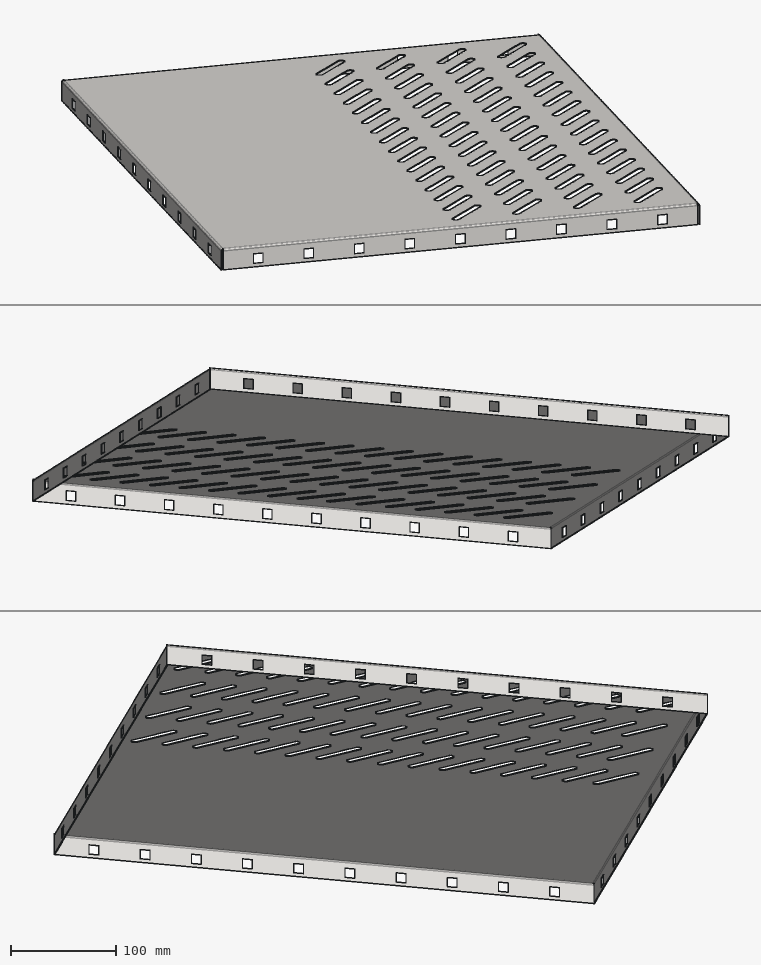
import cadquery as cq

length = 528.0
width = 475.0
height = 21.0
sheet = 1.0
bend_radius = 2.0
bend_inner_radius = bend_radius - sheet

hole_side = 9.5
hole_height = 8.5
long_flange_holes = 10
long_flange_inset = 39.0
short_flange_holes = 9
short_flange_inset = 37.0

slot_columns = 16
slot_rows = 4
slot_end_inset = 38.5
slot_rear_inset = 39.5
slot_pitch_x = (length - 2 * slot_end_inset) / (slot_columns - 1)
slot_pitch_y = 2 * slot_pitch_x
slot_width = 7.0
slot_length = 50.0
slot_angle = -45


def folded_channel(plane, span, run):
    """Inverted channel of the given span, folded from sheet and centred along its run."""
    outer = cq.Workplane(plane).rect(span, 2 * height).extrude(run / 2, both=True)
    inner = cq.Workplane(plane).rect(span - 2 * sheet, 2 * (height - sheet)).extrude(run / 2, both=True)
    run_edges = "|Y" if plane == "XZ" else "|X"
    outer = outer.edges(run_edges).fillet(bend_radius)
    inner = inner.edges(run_edges).fillet(bend_inner_radius)
    above_base = cq.Workplane("XY").box(length, width, height, centered=(True, True, False))
    return outer.cut(inner).intersect(above_base)


def tray_shell():
    """Front and rear flanges run the full length; the side flanges fit between them."""
    side_run = width - 2 * bend_radius
    middle = cq.Workplane("XY").box(length, side_run, 2 * height)
    front_and_rear = folded_channel("YZ", width, length).cut(middle)
    sides = folded_channel("XZ", length, side_run)
    return sides.union(front_and_rear)


def flange_holes(plane, count, flange_length, inset, depth):
    """Row of square cutters that passes through a pair of opposite flanges."""
    pitch = (flange_length - 2 * inset) / (count - 1)
    return (
        cq.Workplane(plane)
        .center(0, hole_height)
        .rarray(pitch, 5.5, count, 1)
        .rect(hole_side, hole_side)
        .extrude(depth / 2, both=True)
    )


def vent_slots():
    """Grid of diagonal slot cutters, aligned to the rear edge of the panel."""
    rows_centre = width / 2 - slot_rear_inset - slot_pitch_y * (slot_rows - 1) / 2
    return (
        cq.Workplane("XY")
        .center(0, rows_centre)
        .rarray(slot_pitch_x, slot_pitch_y, slot_columns, slot_rows)
        .slot2D(slot_length, slot_width, slot_angle)
        .extrude(height)
    )


result = (
    tray_shell()
    .cut(flange_holes("XZ", long_flange_holes, length, long_flange_inset, width))
    .cut(flange_holes("YZ", short_flange_holes, width, short_flange_inset, length))
    .cut(vent_slots())
)